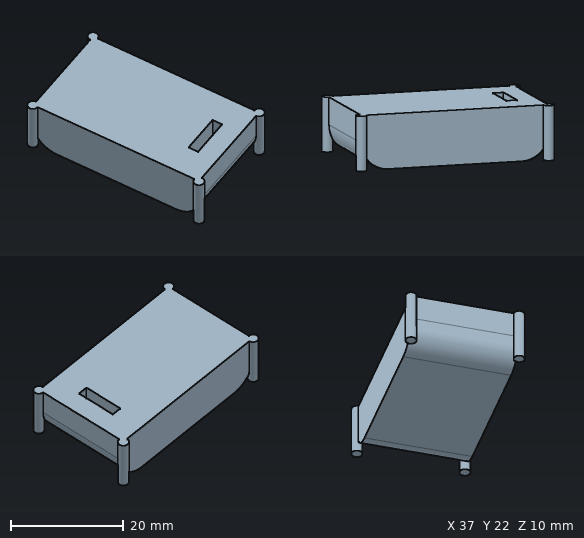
import cadquery as cq

overall_length = 37.0
overall_width = 22.0
height = 10.0

pin_diameter = 2.0

body_length = overall_length - pin_diameter
body_width = overall_width - pin_diameter
bottom_radius = height / 2

slot_length = 8.0
slot_width = 2.0
slot_offset = 12.5
slot_depth = height / 2


def make_body():
    """Block with its two bottom end edges rounded."""
    block = cq.Workplane("XY").box(body_length, body_width, height, centered=(True, True, False))
    return block.edges("<Z and |Y").fillet(bottom_radius)


def make_pins():
    """Four full-height pins, one at each corner of the body."""
    return (
        cq.Workplane("XY")
        .rect(body_length, body_width, forConstruction=True)
        .vertices()
        .circle(pin_diameter / 2)
        .extrude(height)
    )


def make_slot():
    """Cutter for the slot, sunk from the top face."""
    return (
        cq.Workplane("XY")
        .workplane(offset=height)
        .center(slot_offset, 0)
        .rect(slot_width, slot_length)
        .extrude(-slot_depth)
    )


result = make_body().union(make_pins()).cut(make_slot())